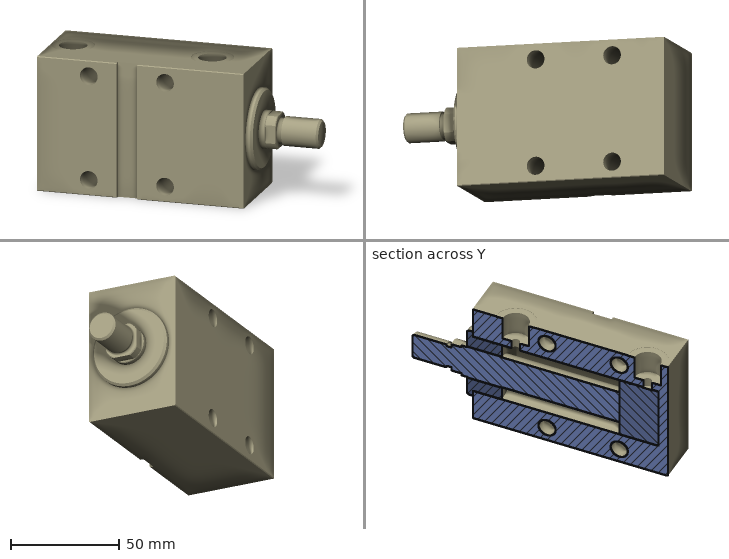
import cadquery as cq


HOUSING_LENGTH = 100.0
HOUSING_WIDTH = 45.0
HOUSING_HEIGHT = 65.0
LONG_EDGE_CHAMFER = 0.4

KEYWAY_START = 38.5
KEYWAY_WIDTH = 10.0
KEYWAY_DEPTH = 2.0

MOUNTING_HOLE_DIAMETER = 8.5
MOUNTING_HOLE_XS = (25.0, 62.0)
MOUNTING_HOLE_Z = 25.0

PORT_XS = (10.5, 78.0)
PORT_DIAMETER = 13.2
PORT_DEPTH = 12.0
SPOT_FACE_DIAMETER = 20.0
SPOT_FACE_DEPTH = 0.1
OIL_HOLE_DIAMETER = 4.2

BORE_RADIUS = 16.0
BORE_START = 5.0
PISTON_LENGTH = 20.0
PISTON_END = BORE_START + PISTON_LENGTH

GLAND_PLUG_LENGTH = 15.0
FLANGE_RADIUS = 19.3
FLANGE_THICKNESS = 3.1
FLANGE_CHAMFER = 1.0

ROD_RADIUS = 9.0
ROD_SHOULDER_X = 106.0
ROD_CHAMFER = 0.4
FLATS_END_X = 111.0
ACROSS_FLATS = 15.9
UNDERCUT_RADIUS = 6.0
UNDERCUT_FILLET = 0.3
TIP_START_X = 113.3
TIP_RADIUS = 7.0
TIP_CHAMFER = 0.9
TIP_END_X = 131.0


def x_cylinder(radius, start, end):
    """Solid cylinder on the X axis between two X positions."""
    return cq.Workplane("YZ", origin=(start, 0, 0)).circle(radius).extrude(end - start)


def vertical_hole(x, diameter, depth):
    """Cutter sunk from the top face of the housing."""
    top = cq.Workplane("XY", origin=(x, 0, HOUSING_HEIGHT / 2))
    return top.circle(diameter / 2).extrude(-depth)


def build_housing():
    """Block with its keyway, mounting holes, bore and oil ports."""
    block = cq.Workplane("XY").box(
        HOUSING_LENGTH, HOUSING_WIDTH, HOUSING_HEIGHT, centered=(False, True, True)
    )
    block = block.edges("|X").chamfer(LONG_EDGE_CHAMFER)

    keyway = cq.Workplane("XY", origin=(KEYWAY_START, -HOUSING_WIDTH / 2, 0)).box(
        KEYWAY_WIDTH, 2 * KEYWAY_DEPTH, HOUSING_HEIGHT, centered=(False, True, True)
    )
    block = block.cut(keyway)

    hole_places = [(x, z) for x in MOUNTING_HOLE_XS for z in (-MOUNTING_HOLE_Z, MOUNTING_HOLE_Z)]
    mounting_holes = (
        cq.Workplane("XZ")
        .pushPoints(hole_places)
        .circle(MOUNTING_HOLE_DIAMETER / 2)
        .extrude(HOUSING_WIDTH / 2, both=True)
    )
    block = block.cut(mounting_holes)

    block = block.cut(x_cylinder(BORE_RADIUS, BORE_START, HOUSING_LENGTH))
    for x in PORT_XS:
        block = block.cut(vertical_hole(x, SPOT_FACE_DIAMETER, SPOT_FACE_DEPTH))
        block = block.cut(vertical_hole(x, PORT_DIAMETER, PORT_DEPTH))
        block = block.cut(vertical_hole(x, OIL_HOLE_DIAMETER, HOUSING_HEIGHT / 2))
    return block


def build_piston():
    """Plain piston that fills the closed end of the bore."""
    return x_cylinder(BORE_RADIUS, BORE_START, PISTON_END)


def build_gland():
    """Flanged plug that guides the rod out of the bore."""
    plug_start = HOUSING_LENGTH - GLAND_PLUG_LENGTH
    flange_end = HOUSING_LENGTH + FLANGE_THICKNESS
    flange = x_cylinder(FLANGE_RADIUS, HOUSING_LENGTH, flange_end)
    flange = flange.faces(">X").chamfer(FLANGE_CHAMFER)
    plug = x_cylinder(BORE_RADIUS, plug_start, HOUSING_LENGTH)
    rod_hole = x_cylinder(ROD_RADIUS, plug_start, flange_end)
    return flange.union(plug).cut(rod_hole)


def build_undercut():
    """Neck between the flats and the tip, flaring out with a fillet at each end."""
    flare_radius = UNDERCUT_RADIUS + UNDERCUT_FILLET
    return (
        cq.Workplane("XY")
        .moveTo(FLATS_END_X, 0)
        .lineTo(FLATS_END_X, flare_radius)
        .radiusArc((FLATS_END_X + UNDERCUT_FILLET, UNDERCUT_RADIUS), -UNDERCUT_FILLET)
        .lineTo(TIP_START_X - UNDERCUT_FILLET, UNDERCUT_RADIUS)
        .radiusArc((TIP_START_X, flare_radius), -UNDERCUT_FILLET)
        .lineTo(TIP_START_X, 0)
        .close()
        .revolve(360, (0, 0, 0), (1, 0, 0))
    )


def build_rod():
    """Rod from the front face of the piston to the end of the tip."""
    shaft = x_cylinder(ROD_RADIUS, PISTON_END, ROD_SHOULDER_X)
    shaft = shaft.faces(">X").chamfer(ROD_CHAMFER)

    flats = x_cylinder(ROD_RADIUS, ROD_SHOULDER_X, FLATS_END_X)
    flats = flats.faces(">X").chamfer(ROD_CHAMFER)
    square = cq.Workplane("XY", origin=(ROD_SHOULDER_X, 0, 0)).box(
        FLATS_END_X - ROD_SHOULDER_X, ACROSS_FLATS, ACROSS_FLATS, centered=(False, True, True)
    )
    flats = flats.intersect(square)

    tip = x_cylinder(TIP_RADIUS, TIP_START_X, TIP_END_X)
    tip = tip.faces(">X").chamfer(TIP_CHAMFER)
    return shaft.union(flats).union(build_undercut()).union(tip)


housing = build_housing()
piston = build_piston()
gland = build_gland()
rod = build_rod()

result = cq.Compound.makeCompound([housing.val(), piston.val(), gland.val(), rod.val()])